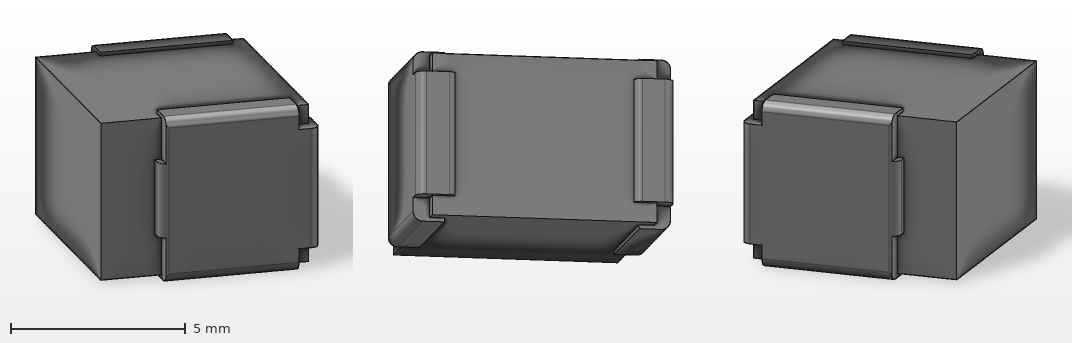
import cadquery as cq

HOUSING_WIDTH = 6.53
HOUSING_LENGTH = 6.21
HOUSING_HEIGHT = 4.72

TOTAL_WIDTH = 7.5
TOTAL_HEIGHT = 4.94

FLANGE_REACH = 0.915
FLANGE_LENGTH = 3.97
FLANGE_SETBACK = 0.435
FOOT_REACH = 1.14
FOOT_THICKNESS = 0.2
FOOT_WIDTH = 3.585
TAB_LENGTH = 0.195
TAB_WIDTH = 2.235
BEND_RADIUS = 0.28
FOOT_TIP_RADIUS = FOOT_THICKNESS

OUTER_X = TOTAL_WIDTH / 2
FOOT_END_Y = HOUSING_LENGTH + FOOT_THICKNESS
FLANGE_END_Y = HOUSING_LENGTH - FLANGE_SETBACK
FLANGE_START_Y = FLANGE_END_Y - FLANGE_LENGTH
TAB_START_Y = FLANGE_START_Y - TAB_LENGTH


def block(x_range, y_range, height):
    """Box over the given X and Y ranges, centred on Z = 0."""
    width = x_range[1] - x_range[0]
    length = y_range[1] - y_range[0]
    centre = (sum(x_range) / 2, sum(y_range) / 2, 0)
    return cq.Workplane("XY").box(width, length, height).translate(centre)


def make_housing():
    half_width = HOUSING_WIDTH / 2
    return block((-half_width, half_width), (0, HOUSING_LENGTH), HOUSING_HEIGHT)


def make_flanged_plate():
    """End plate and both flanges, rounded along the top and bottom outer edges."""
    plate = block(
        (OUTER_X - FLANGE_REACH, OUTER_X), (FLANGE_START_Y, FLANGE_END_Y), TOTAL_HEIGHT
    )
    return plate.faces(">X").edges("|Y").fillet(BEND_RADIUS)


def make_plan_envelope():
    """Rounded plan outline that bounds the plate, foot and tab."""
    envelope = block(
        (OUTER_X - FOOT_REACH, OUTER_X), (TAB_START_Y, FOOT_END_Y), TOTAL_HEIGHT
    )
    envelope = envelope.faces(">X").edges("|Z").fillet(BEND_RADIUS)
    return envelope.faces("<X").edges("|Z and >Y").fillet(FOOT_TIP_RADIUS)


def make_terminal(housing, side):
    """Terminal hollowed to fit the housing: side is 1 for the +X end, -1 for the -X end."""
    reach = (OUTER_X - FOOT_REACH, OUTER_X)
    foot = block(reach, (FLANGE_START_Y, FOOT_END_Y), FOOT_WIDTH)
    tab = block(reach, (TAB_START_Y, FLANGE_END_Y), TAB_WIDTH)
    terminal = make_flanged_plate().union(foot).union(tab)
    terminal = terminal.intersect(make_plan_envelope())
    if side < 0:
        terminal = terminal.mirror("YZ")
    return terminal.cut(housing).solids()


housing = make_housing()
terminals = [make_terminal(housing, side) for side in (-1, 1)]

result = cq.Compound.makeCompound([housing.val(), *[terminal.val() for terminal in terminals]])